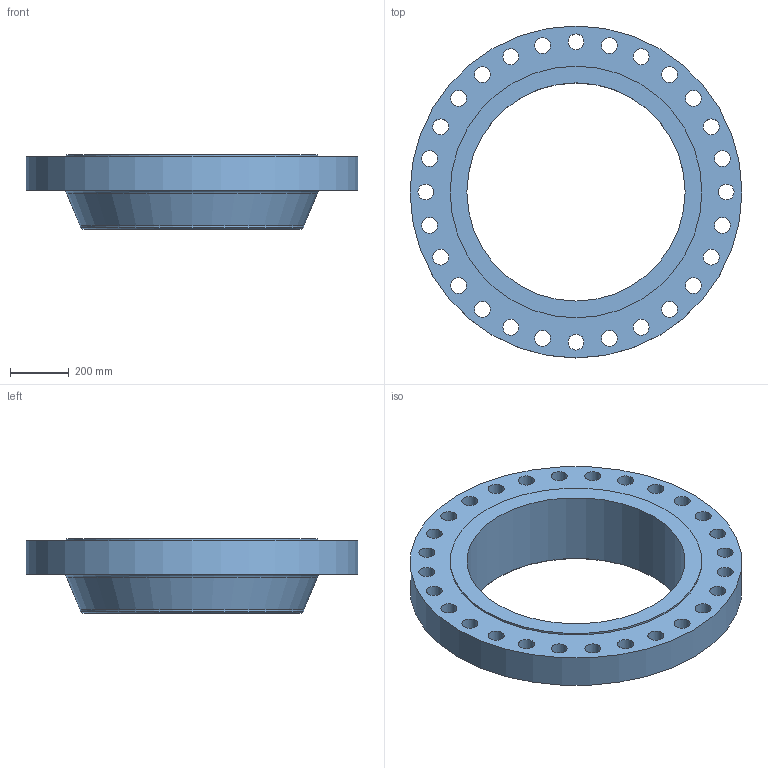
import cadquery as cq
import math

outer_diameter = 1130.3
overall_height = 254.0
plate_thickness = 114.3
raised_face_height = 6.35
raised_face_diameter = 857.25
bore_diameter = 742.95

hub_base_diameter = 862.0
pipe_diameter = 762.0
hub_fillet_radius = 16.0
bevel_land = 1.6
bevel_angle = 37.5
weld_end_length = 12.0

bolt_circle_diameter = 1022.35
bolt_hole_diameter = 54.0
bolt_count = 28

plate_top = overall_height - raised_face_height
plate_bottom = plate_top - plate_thickness
bevel_width = (pipe_diameter - bore_diameter) / 2 - bevel_land
bevel_height = bevel_width * math.tan(math.radians(bevel_angle))

hub_base_radius = hub_base_diameter / 2
hub_slope_angle = math.atan2(plate_bottom - weld_end_length, hub_base_radius - pipe_diameter / 2)
fillet_tangent_length = hub_fillet_radius * math.tan(hub_slope_angle / 2)
fillet_start = (
    hub_base_radius - fillet_tangent_length * math.cos(hub_slope_angle),
    plate_bottom - fillet_tangent_length * math.sin(hub_slope_angle),
)
fillet_end = (hub_base_radius + fillet_tangent_length, plate_bottom)


def make_flange_body():
    """Revolve the half section of the flange about Z."""
    section = (
        cq.Workplane("XZ")
        .moveTo(bore_diameter / 2, 0)
        .lineTo(bore_diameter / 2 + bevel_land, 0)
        .lineTo(pipe_diameter / 2, bevel_height)
        .lineTo(pipe_diameter / 2, weld_end_length)
        .lineTo(*fillet_start)
        .tangentArcPoint(fillet_end, relative=False)
        .lineTo(outer_diameter / 2, plate_bottom)
        .lineTo(outer_diameter / 2, plate_top)
        .lineTo(raised_face_diameter / 2, plate_top)
        .lineTo(raised_face_diameter / 2, overall_height)
        .lineTo(bore_diameter / 2, overall_height)
        .close()
    )
    return section.revolve(360, (0, 0, 0), (0, 1, 0))


def make_bolt_holes():
    """Cylinders through the plate, evenly spaced with one on the +X axis."""
    return (
        cq.Workplane("XY")
        .workplane(offset=plate_bottom)
        .polarArray(bolt_circle_diameter / 2, 0, 360, bolt_count, rotate=False)
        .circle(bolt_hole_diameter / 2)
        .extrude(plate_thickness)
    )


result = make_flange_body().cut(make_bolt_holes())